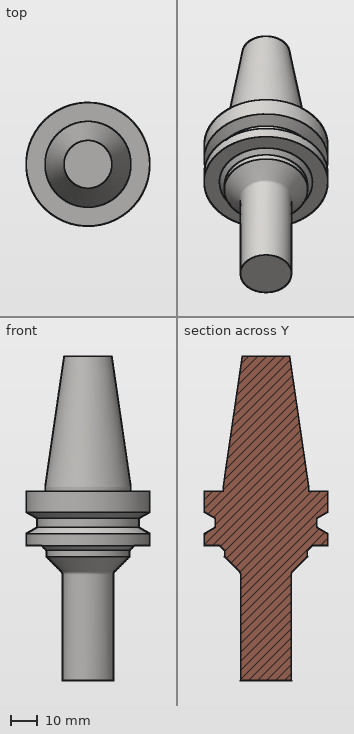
import cadquery as cq
import math

total_height = 120.4

shank_diameter = 19.0
collar_diameter = 31.0
collar_bottom = 46.0
collar_top = 48.3
shank_fillet_radius = 1.6
cone_angle = math.radians(45)

flange_diameter = 46.0
flange_bottom = 50.1
flange_top = 70.3
groove_diameter = 38.0
groove_floor_bottom = 56.8
groove_floor_top = 60.2
groove_wall_angle = math.radians(30)

gauge_diameter = 31.9
gauge_height = 71.9
taper_ratio = 7 / 24

shank_radius = shank_diameter / 2
collar_radius = collar_diameter / 2
flange_radius = flange_diameter / 2
groove_radius = groove_diameter / 2
gauge_radius = gauge_diameter / 2
taper_end_radius = gauge_radius - (total_height - gauge_height) * taper_ratio / 2
upper_cone_radius = collar_radius + (flange_bottom - collar_top) / math.tan(cone_angle)
groove_wall_height = (flange_radius - groove_radius) * math.tan(groove_wall_angle)

fillet_center_radius = shank_radius + shank_fillet_radius
fillet_end_radius = fillet_center_radius - shank_fillet_radius * math.cos(cone_angle)
fillet_end_height = collar_bottom - (collar_radius - fillet_end_radius) * math.tan(cone_angle)
fillet_start_height = fillet_end_height - shank_fillet_radius * math.sin(cone_angle)
fillet_mid_point = (
    fillet_center_radius - shank_fillet_radius * math.cos(cone_angle / 2),
    fillet_start_height + shank_fillet_radius * math.sin(cone_angle / 2),
)

profile = (
    cq.Workplane("XZ")
    .lineTo(shank_radius, 0)
    .lineTo(shank_radius, fillet_start_height)
    .threePointArc(fillet_mid_point, (fillet_end_radius, fillet_end_height))
    .lineTo(collar_radius, collar_bottom)
    .lineTo(collar_radius, collar_top)
    .lineTo(upper_cone_radius, flange_bottom)
    .lineTo(flange_radius, flange_bottom)
    .lineTo(flange_radius, groove_floor_bottom - groove_wall_height)
    .lineTo(groove_radius, groove_floor_bottom)
    .lineTo(groove_radius, groove_floor_top)
    .lineTo(flange_radius, groove_floor_top + groove_wall_height)
    .lineTo(flange_radius, flange_top)
    .lineTo(gauge_radius, flange_top)
    .lineTo(gauge_radius, gauge_height)
    .lineTo(taper_end_radius, total_height)
    .lineTo(0, total_height)
    .close()
)

result = profile.revolve(360, (0, 0, 0), (0, 1, 0))